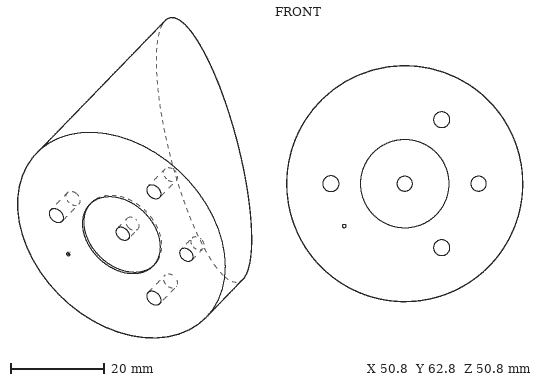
import cadquery as cq
import math

diameter = 50.8
radius = diameter / 2
long_side = 62.8
short_side = long_side - diameter

recess_diameter = 19.0
recess_depth = 0.6
hole_circle_radius = 15.9
screw_hole_diameter = 3.45
screw_hole_depth = 7.55
screw_hole_angles = (60, 180, 300)
drill_tip_angle = 118
pin_hole_diameter = 3.25
pin_hole_depth = 5.0
dimple_diameter = 0.75
dimple_depth = 0.5
dimple_angle = 215


def on_hole_circle(angle):
    """X and Z of a point on the hole circle, angle measured from +X towards +Z."""
    turn = math.radians(angle)
    return hole_circle_radius * math.cos(turn), hole_circle_radius * math.sin(turn)


def round_pocket(x, z, pocket_diameter, depth):
    """Flat-bottomed cylinder reaching from the mounting face into the part."""
    return (
        cq.Workplane("XZ")
        .center(x, z)
        .circle(pocket_diameter / 2)
        .extrude(-depth)
    )


def drilled_hole(x, z, hole_diameter, depth):
    """Blind hole with a conical drill tip below its full-diameter depth."""
    hole_radius = hole_diameter / 2
    tip_length = hole_radius / math.tan(math.radians(drill_tip_angle / 2))
    return (
        cq.Workplane("XY")
        .polyline([(0, 0), (hole_radius, 0), (hole_radius, depth), (0, depth + tip_length)])
        .close()
        .revolve(360, (0, 0, 0), (0, 1, 0))
        .translate((x, 0, z))
    )


side_profile = (
    cq.Workplane("XY")
    .polyline([(-radius, 0), (radius, 0), (radius, short_side), (-radius, long_side)])
    .close()
    .extrude(radius, both=True)
)
result = round_pocket(0, 0, diameter, long_side).intersect(side_profile)

result = result.cut(round_pocket(0, 0, recess_diameter, recess_depth))
result = result.cut(round_pocket(0, 0, pin_hole_diameter, pin_hole_depth))

result = result.cut(round_pocket(hole_circle_radius, 0, pin_hole_diameter, pin_hole_depth))

for screw_hole_angle in screw_hole_angles:
    hole_x, hole_z = on_hole_circle(screw_hole_angle)
    result = result.cut(drilled_hole(hole_x, hole_z, screw_hole_diameter, screw_hole_depth))

dimple_x, dimple_z = on_hole_circle(dimple_angle)
result = result.cut(drilled_hole(dimple_x, dimple_z, dimple_diameter, dimple_depth))